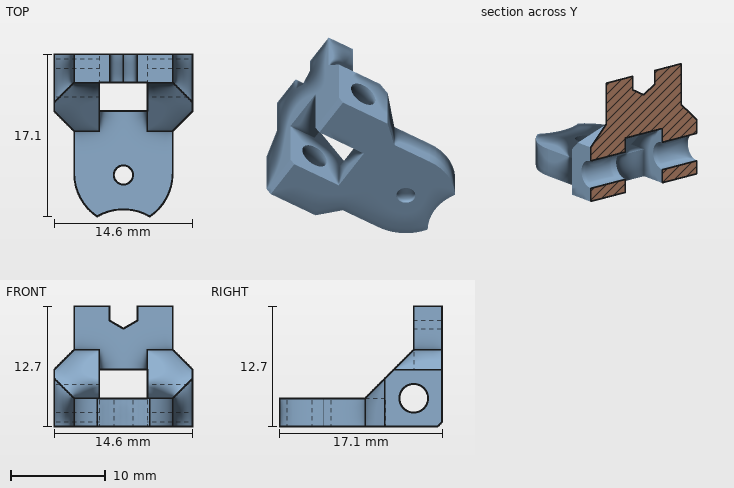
import cadquery as cq
import math

width = 14.6
length = 17.14
height = 12.74
thickness = 3.0

tongue_width = 10.42
corner_radius = 5.52
tip_half_width = 2.78
tip_hollow_depth = 0.75
base_hole_diameter = 2.0
base_hole_y = -12.75

window_width = 5.07
window_depth = 2 * thickness
back_plate_bottom = 6.03
arm_top = 8.12
side_bevel = (width - tongue_width) / 2
heel_chamfer = 0.5
pin_hole_diameter = 3.0
pin_y = -thickness
pin_z = thickness

notch_width = 2.93
notch_side_depth = 1.53
notch_depth = 2.38


def make_tongue():
    """Base plate with a round front end and a concave tip."""
    side_x = tongue_width / 2
    inset = side_x - tip_half_width
    sweep = math.acos(1 - inset / corner_radius)
    round_start_y = -length + corner_radius * math.sin(sweep)
    mid_x = side_x - corner_radius * (1 - math.cos(sweep / 2))
    mid_y = round_start_y - corner_radius * math.sin(sweep / 2)
    plate = (
        cq.Workplane("XY")
        .moveTo(-side_x, -window_depth)
        .lineTo(-side_x, round_start_y)
        .threePointArc((-mid_x, mid_y), (-tip_half_width, -length))
        .threePointArc((0, -length + tip_hollow_depth), (tip_half_width, -length))
        .threePointArc((mid_x, mid_y), (side_x, round_start_y))
        .lineTo(side_x, -window_depth)
        .close()
        .extrude(thickness)
    )
    hole = cq.Workplane("XY").center(0, base_hole_y).circle(base_hole_diameter / 2).extrude(thickness)
    return plate.cut(hole)


def make_arms():
    """Pair of sloping arms: a side profile trimmed by front and plan outlines."""
    slope_end = -thickness - (arm_top - thickness)
    side_profile = [
        (-heel_chamfer, 0),
        (slope_end, 0),
        (slope_end, thickness),
        (-thickness, arm_top),
        (0, arm_top),
        (0, heel_chamfer),
    ]
    half = width / 2
    inner = half - side_bevel
    front_outline = [
        (-half, 0),
        (half, 0),
        (half, arm_top - side_bevel),
        (inner, arm_top),
        (-inner, arm_top),
        (-half, arm_top - side_bevel),
    ]
    plan_outline = [
        (-half, 0),
        (half, 0),
        (half, slope_end + side_bevel),
        (inner, slope_end),
        (-inner, slope_end),
        (-half, slope_end + side_bevel),
    ]
    arms = cq.Workplane("YZ").polyline(side_profile).close().extrude(half, both=True)
    arms = arms.intersect(cq.Workplane("XZ").polyline(front_outline).close().extrude(length))
    arms = arms.intersect(cq.Workplane("XY").polyline(plan_outline).close().extrude(height))
    window = cq.Workplane("XY").box(window_width, 2 * length, 2 * height)
    pin_hole = cq.Workplane("YZ").center(pin_y, pin_z).circle(pin_hole_diameter / 2).extrude(width, both=True)
    return arms.cut(window).cut(pin_hole)


def make_back_plate():
    """Upright plate joining the arms, notched at the top."""
    half = tongue_width / 2
    half_notch = notch_width / 2
    outline = [
        (-half, arm_top),
        (-window_width / 2, arm_top),
        (-window_width / 2, back_plate_bottom),
        (window_width / 2, back_plate_bottom),
        (window_width / 2, arm_top),
        (half, arm_top),
        (half, height),
        (half_notch, height),
        (half_notch, height - notch_side_depth),
        (0, height - notch_depth),
        (-half_notch, height - notch_side_depth),
        (-half_notch, height),
        (-half, height),
    ]
    return cq.Workplane("XZ").polyline(outline).close().extrude(thickness)


result = make_arms().union(make_tongue()).union(make_back_plate())